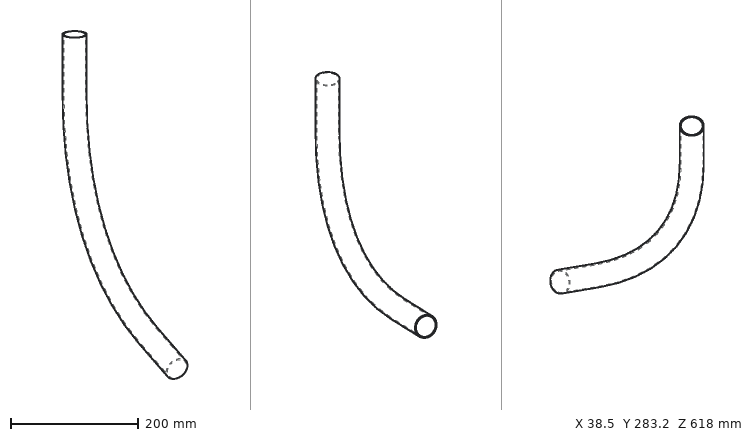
import cadquery as cq
import math

total_height = 618.0
outer_diameter = 38.5
inner_diameter = 34.0
straight_length = 100.0
bend_angle = 45.0

outer_radius = outer_diameter / 2
bend_sin = math.sin(math.radians(bend_angle))
bend_cos = math.cos(math.radians(bend_angle))
rim_drop = outer_radius * bend_sin
bend_radius = (total_height - straight_length - straight_length * bend_cos - rim_drop) / bend_sin


def bend_point(angle):
    """Centreline (Y, Z) point of the bend, at an angle in degrees from its upper end."""
    turn = math.radians(angle)
    return (
        bend_radius * (1 - math.cos(turn)),
        -straight_length - bend_radius * math.sin(turn),
    )


bend_end_y, bend_end_z = bend_point(bend_angle)
lower_end = (
    bend_end_y + straight_length * bend_sin,
    bend_end_z - straight_length * bend_cos,
)
centreline = (
    cq.Workplane("YZ")
    .moveTo(0, 0)
    .lineTo(*bend_point(0))
    .threePointArc(bend_point(bend_angle / 2), (bend_end_y, bend_end_z))
    .lineTo(*lower_end)
)

result = (
    cq.Workplane("XY")
    .circle(outer_radius)
    .circle(inner_diameter / 2)
    .sweep(centreline)
)